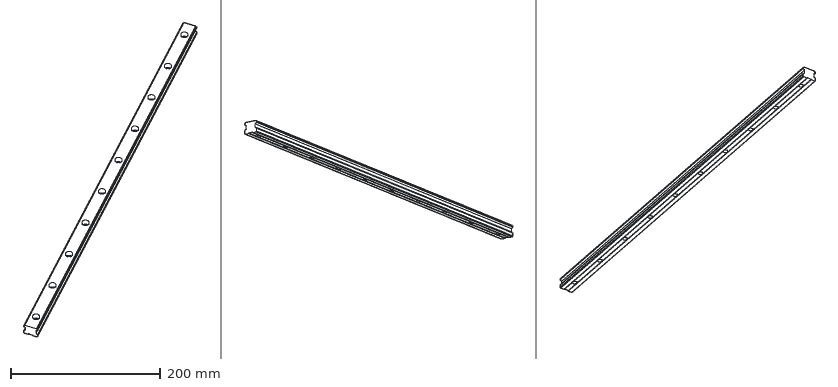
import cadquery as cq

rail_width = 20.0
rail_length = 580.0
rail_height = 16.5

base_chamfer = 1.0
relief_width = 6.4
relief_depth = 0.8

foot_top = 5.0
waist_bottom = 7.3
waist_top = 11.6
head_bottom = 13.3
waist_width = 15.2

bevel_bottom = 14.9
bevel_corner_height = 15.3
bevel_corner_width = 18.3
top_face_width = 16.8

hole_pitch = 60.0
hole_count = 10
bore_diameter = 6.0
counterbore_diameter = 9.5
counterbore_depth = 8.5


def half_rail():
    """Right half of the cross-section, from the centre plane out, extruded along Y."""
    half_width = rail_width / 2
    half_waist = waist_width / 2
    half_relief = relief_width / 2
    profile = (
        cq.Workplane("XZ")
        .moveTo(0, relief_depth)
        .lineTo(half_relief, relief_depth)
        .lineTo(half_relief, 0)
        .lineTo(half_width - base_chamfer, 0)
        .lineTo(half_width, base_chamfer)
        .lineTo(half_width, foot_top)
        .lineTo(half_waist, waist_bottom)
        .lineTo(half_waist, waist_top)
        .lineTo(half_width, head_bottom)
        .lineTo(half_width, bevel_bottom)
        .lineTo(bevel_corner_width / 2, bevel_corner_height)
        .lineTo(top_face_width / 2, rail_height)
        .lineTo(0, rail_height)
        .close()
    )
    return profile.extrude(rail_length / 2, both=True)


def rail_body():
    """Both halves of the rail, mirrored about the centre plane."""
    half = half_rail()
    return half.union(half.mirror("YZ")).clean()


def drill_mounting_holes(body):
    """One row of counterbored through holes along the centre of the top face."""
    first_hole_y = -hole_pitch * (hole_count - 1) / 2
    centres = [(0, first_hole_y + i * hole_pitch) for i in range(hole_count)]
    top_plane = cq.Workplane("XY", origin=(0, 0, rail_height))
    bores = top_plane.pushPoints(centres).circle(bore_diameter / 2).extrude(-rail_height)
    counterbores = (
        top_plane.pushPoints(centres).circle(counterbore_diameter / 2).extrude(-counterbore_depth)
    )
    return body.cut(bores).cut(counterbores)


result = drill_mounting_holes(rail_body())